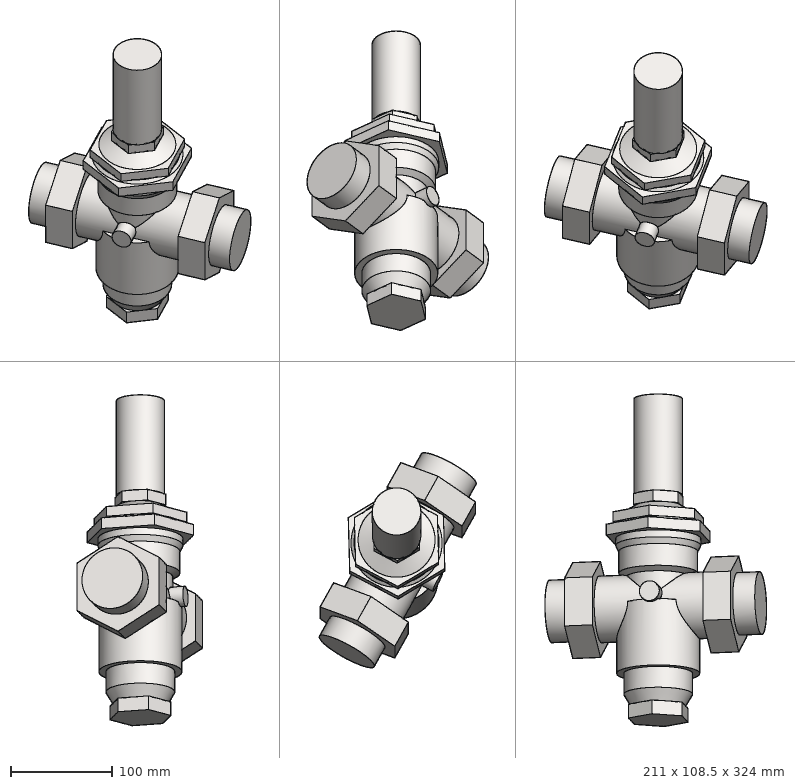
import cadquery as cq
import math


run_center_x = 2.5
run_length = 211.0
pipe_end_diameter = 62.0
pipe_body_diameter = 66.0
union_nut_flats = 84.0
union_nut_width = 28.0
union_nut_spacing = 139.0

boss_diameter = 20.0
boss_center_z = 7.0
boss_span_y = 92.0

bottom_z = -114.0
plug_top_z = -100.0
plug_cone_top_z = -88.0
lower_body_bottom_z = -67.0
lower_body_top_z = 0.0
neck_top_z = 30.0
upper_body_bottom_z = 34.0
upper_body_top_z = 56.0
collar_bottom_z = 62.0
flange_bottom_z = 69.0
flange_top_z = 80.0
bonnet_bottom_z = 83.0
bonnet_top_z = 93.0
stem_nut_bottom_z = 102.0
stem_nut_top_z = 113.0
top_z = 210.0

plug_collar_diameter = 68.0
lower_body_diameter = 82.0
neck_diameter = 64.0
upper_body_diameter = 78.0
collar_diameter = 84.0
bevel_top_diameter = 84.0
bevel_bottom_diameter = 90.0
dome_bottom_diameter = 76.0
spindle_diameter = 48.0

plug_flats = 54.0
flange_flats = 94.0
bonnet_flats = 82.0
stem_nut_flats = 45.0


def cone(bottom, top, bottom_diameter, top_diameter):
    """Truncated cone on the valve axis; equal diameters give a cylinder."""
    profile = [
        (0, bottom),
        (bottom_diameter / 2, bottom),
        (top_diameter / 2, top),
        (0, top),
    ]
    section = cq.Workplane("YZ").polyline(profile).close()
    return section.revolve(360, (0, 0, 0), (0, 1, 0))


def cylinder(bottom, top, diameter):
    """Upright cylinder on the valve axis."""
    return cone(bottom, top, diameter, diameter)


def hexagon_points(across_flats):
    """Corners of a regular hexagon with two corners on its second axis."""
    corner_radius = across_flats / 2 / math.cos(math.pi / 6)
    angles = [math.pi / 6 + i * math.pi / 3 for i in range(6)]
    return [(corner_radius * math.cos(a), corner_radius * math.sin(a)) for a in angles]


def hexagon(bottom, top, across_flats):
    """Upright hexagonal prism on the valve axis, corners toward -Y and +Y."""
    base = cq.Workplane("XY").workplane(offset=bottom)
    return base.polyline(hexagon_points(across_flats)).close().extrude(top - bottom)


def run_plane(mid_x):
    """Plane across the pipe run at the given X."""
    return cq.Workplane("YZ", origin=(mid_x, 0, 0))


def make_run():
    """Pipe, thicker between the union nuts, and the nuts (corners up and down)."""
    end_pipe = run_plane(run_center_x).circle(pipe_end_diameter / 2)
    run = end_pipe.extrude(run_length / 2, both=True)
    body_pipe = run_plane(run_center_x).circle(pipe_body_diameter / 2)
    run = run.union(body_pipe.extrude(union_nut_spacing / 2, both=True))
    for side in (-1, 1):
        nut_x = run_center_x + side * union_nut_spacing / 2
        nut = run_plane(nut_x).polyline(hexagon_points(union_nut_flats)).close()
        run = run.union(nut.extrude(union_nut_width / 2, both=True))
    return run


def make_lower_body():
    """Body below the pipe run with its stepped plug and bottom hexagon."""
    body = cylinder(lower_body_bottom_z, lower_body_top_z, lower_body_diameter)
    body = body.union(cylinder(plug_cone_top_z, lower_body_bottom_z, plug_collar_diameter))
    body = body.union(cone(plug_top_z, plug_cone_top_z, plug_flats, plug_collar_diameter))
    return body.union(hexagon(bottom_z, plug_top_z, plug_flats))


def make_upper_body():
    """Neck rising out of the pipe, widening in steps up to the flange."""
    body = cylinder(lower_body_top_z, neck_top_z, neck_diameter)
    body = body.union(cone(neck_top_z, upper_body_bottom_z, neck_diameter, upper_body_diameter))
    body = body.union(cylinder(upper_body_bottom_z, upper_body_top_z, upper_body_diameter))
    body = body.union(cone(upper_body_top_z, collar_bottom_z, upper_body_diameter, collar_diameter))
    return body.union(cylinder(collar_bottom_z, flange_bottom_z, collar_diameter))


def make_bonnet():
    """Flange and bonnet hexagons, domed shoulder, stem nut and spindle cover."""
    bonnet = hexagon(flange_bottom_z, flange_top_z, flange_flats)
    bonnet = bonnet.union(cone(flange_top_z, bonnet_bottom_z, bevel_bottom_diameter, bevel_top_diameter))
    bonnet = bonnet.union(hexagon(bonnet_bottom_z, bonnet_top_z, bonnet_flats))
    bonnet = bonnet.union(cone(bonnet_top_z, stem_nut_bottom_z, dome_bottom_diameter, stem_nut_flats))
    bonnet = bonnet.union(hexagon(stem_nut_bottom_z, stem_nut_top_z, stem_nut_flats))
    return bonnet.union(cylinder(stem_nut_top_z, top_z, spindle_diameter))


def make_bosses():
    """One bar through the body along Y, showing as a round boss on each side."""
    section = cq.Workplane("XZ").center(0, boss_center_z).circle(boss_diameter / 2)
    return section.extrude(boss_span_y / 2, both=True)


result = make_run()
for section_solid in (make_lower_body(), make_upper_body(), make_bonnet(), make_bosses()):
    result = result.union(section_solid)